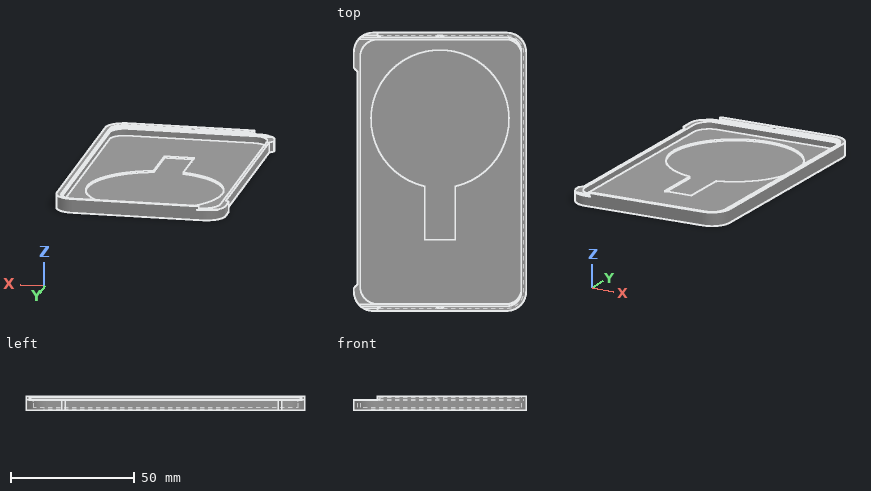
import cadquery as cq

length_x = 70.0
length_y = 113.0
height = 5.8
corner_radius = 8.0
half_x = length_x / 2
half_y = length_y / 2

ledge_z = 4.3
floor_z = 1.3

overlap = 1.0

pocket_open_end_wall = 2.6
pocket_closed_end_wall = 2.0
pocket_left = -half_x + pocket_open_end_wall
pocket_right = half_x - pocket_closed_end_wall
pocket_side_wall = 2.9
pocket_open_end_radius = 7.0
pocket_closed_end_radius = 6.0

coil_diameter = 56.0
coil_center_y = 21.4
tail_width = 12.3
tail_end_y = -27.5
coil_depth = 0.7

relief_depth = 1.5
relief_top_y = half_y - 14.4
relief_bottom_y = -half_y + 9.35

rim_start_x = -half_x + 9.6
rim_nose_radius = 0.75
rim_width = 1.2
lip_reach = 0.75
lip_base_z = 4.6
lip_tip_bottom_z = 5.3
lip_tip_top_z = 5.55
lip_end_taper = 1.3
top_land = 0.65

track_step = 0.1
track_middle = rim_width + lip_reach
track_inner = track_middle + lip_reach

notch_radius = 2.2


def rounded_block(left, right, half_width, left_radius, right_radius, bottom, top):
    """Block with rounded vertical edges, symmetric about the XZ plane."""
    return (
        cq.Workplane("XY", origin=((left + right) / 2, 0, bottom))
        .rect(right - left, 2 * half_width)
        .extrude(top - bottom)
        .edges("|Z and <X")
        .fillet(left_radius)
        .edges("|Z and >X")
        .fillet(right_radius)
    )


def opening_outline(offset, z):
    """Lid opening at height z, inset from the tray outline and running out past the open end."""
    left = -half_x - overlap
    right = half_x - offset
    side = half_y - offset
    radius = corner_radius - offset
    return (
        cq.Workplane("XY", origin=(0, 0, z))
        .moveTo(left, -side)
        .lineTo(right - radius, -side)
        .radiusArc((right, -side + radius), -radius)
        .lineTo(right, side - radius)
        .radiusArc((right - radius, side), -radius)
        .lineTo(left, side)
        .close()
        .wires()
        .val()
    )


def lid_opening():
    """Stack of bands whose insets follow the rim profile: base, undercut, lip tip, top slope."""
    profile = (
        (rim_width, ledge_z),
        (rim_width, lip_base_z),
        (rim_width + lip_reach, lip_tip_bottom_z),
        (rim_width + lip_reach, lip_tip_top_z),
        (top_land, height),
    )
    opening = cq.Workplane("XY")
    for lower, upper in zip(profile, profile[1:]):
        outlines = [opening_outline(*lower), opening_outline(*upper)]
        opening = opening.union(cq.Workplane(cq.Solid.makeLoft(outlines, True)))
    return opening


def open_end_clearance():
    """Space above the ledge ahead of the rim; each rim ends in a round nose and a tapered lip."""
    tip_x = rim_start_x
    nose_x = tip_x + rim_nose_radius
    lip_x = tip_x + lip_end_taper
    left = -half_x - overlap
    nose_y = half_y - rim_nose_radius
    nose_inner_y = half_y - 2 * rim_nose_radius
    lip_y = half_y - track_middle
    return (
        cq.Workplane("XY", origin=(0, 0, ledge_z))
        .moveTo(left, -half_y)
        .lineTo(nose_x, -half_y)
        .threePointArc((tip_x, -nose_y), (nose_x, -nose_inner_y))
        .lineTo(lip_x, -lip_y)
        .lineTo(lip_x, lip_y)
        .lineTo(nose_x, nose_inner_y)
        .threePointArc((tip_x, nose_y), (nose_x, half_y))
        .lineTo(left, half_y)
        .close()
        .extrude(height)
    )


def opening_prism(offset, bottom, top):
    """Straight-walled prism of the lid opening outline."""
    outline = opening_outline(offset, bottom)
    return cq.Workplane(cq.Solid.extrudeLinear(outline, [], cq.Vector(0, 0, top - bottom)))


def lid_tracks():
    """Channel in the ledge along the lid opening, one step deeper toward the pocket."""
    channel = cq.Workplane("XY")
    for step, offset in enumerate((rim_width, track_middle), start=1):
        bottom = ledge_z - step * track_step
        outer = opening_prism(offset, bottom, ledge_z)
        inner = opening_prism(track_inner, bottom, ledge_z)
        channel = channel.union(outer.cut(inner))
    return channel


def open_end_relief():
    """Shallow cut across the open end with 45 degree ends."""
    return (
        cq.Workplane("XY")
        .polyline(
            [
                (-half_x, relief_top_y),
                (-half_x + relief_depth, relief_top_y - relief_depth),
                (-half_x + relief_depth, relief_bottom_y + relief_depth),
                (-half_x, relief_bottom_y),
            ]
        )
        .close()
        .extrude(height)
    )


def coil_recess():
    """Disc with a straight tail, sunk into the pocket floor."""
    bottom = floor_z - coil_depth
    disc = (
        cq.Workplane("XY", origin=(0, coil_center_y, bottom))
        .circle(coil_diameter / 2)
        .extrude(height)
    )
    tail_length = coil_center_y - tail_end_y
    tail = (
        cq.Workplane("XY", origin=(0, (coil_center_y + tail_end_y) / 2, bottom))
        .rect(tail_width, tail_length)
        .extrude(height)
    )
    return disc.union(tail)


def detent_notches():
    """Round notches through both lips at mid length, down to the ledge."""
    center_y = half_y - rim_width - notch_radius
    return (
        cq.Workplane("XY", origin=(0, 0, ledge_z))
        .pushPoints([(0, center_y), (0, -center_y)])
        .circle(notch_radius)
        .extrude(height)
    )


tray = rounded_block(-half_x, half_x, half_y, corner_radius, corner_radius, 0, height)
pocket = rounded_block(
    pocket_left,
    pocket_right,
    half_y - pocket_side_wall,
    pocket_open_end_radius,
    pocket_closed_end_radius,
    floor_z,
    height,
)
result = (
    tray.cut(lid_opening())
    .cut(open_end_clearance())
    .cut(lid_tracks())
    .cut(pocket)
    .cut(coil_recess())
    .cut(open_end_relief())
    .cut(detent_notches())
)